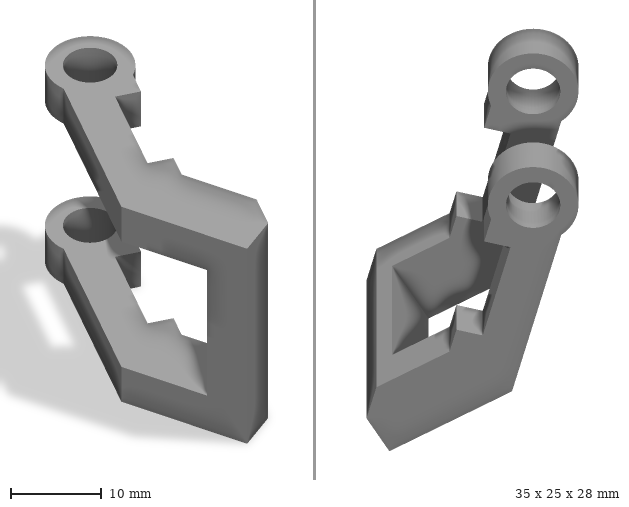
import cadquery as cq
import math

height = 28.0
plate_thickness = 5.0

eye_radius = 5.0
hole_diameter = 6.0

arm_angle = math.radians(-45.0)
arm_half_width = 4.0
notch_start = 6.0
notch_end = 18.0
notch_depth = 3.0

foot_end_x = 30.0
foot_front_y = -20.0
foot_width = 8.0
foot_back_y = foot_front_y + foot_width
corner_chamfer = 3.0
post_thickness = 5.0


def arm_point(along, across):
    """Point at a distance along the arm centreline and a distance to its left."""
    x = along * math.cos(arm_angle) - across * math.sin(arm_angle)
    y = along * math.sin(arm_angle) + across * math.cos(arm_angle)
    return (x, y)


def arm_edge_at_y(across, y):
    """Point where the arm edge with the given offset reaches height y in the plan."""
    along = (y - across * math.cos(arm_angle)) / math.sin(arm_angle)
    return arm_point(along, across)


def make_plate():
    """Flat plate: eye, notched diagonal arm and straight foot."""
    notch_floor = arm_half_width - notch_depth
    outline = [
        arm_point(0, -arm_half_width),
        arm_edge_at_y(-arm_half_width, foot_front_y),
        (foot_end_x, foot_front_y),
        (foot_end_x, foot_back_y - corner_chamfer),
        (foot_end_x - corner_chamfer, foot_back_y),
        arm_edge_at_y(arm_half_width, foot_back_y),
        arm_point(notch_end, arm_half_width),
        arm_point(notch_end, notch_floor),
        arm_point(notch_start, notch_floor),
        arm_point(notch_start, arm_half_width),
        arm_point(0, arm_half_width),
    ]
    arm = cq.Workplane("XY").polyline(outline).close().extrude(plate_thickness)
    eye = cq.Workplane("XY").circle(eye_radius).extrude(plate_thickness)
    hole = cq.Workplane("XY").circle(hole_diameter / 2).extrude(plate_thickness)
    return arm.union(eye).cut(hole)


def make_post():
    """Upright post at the foot end, with the same corner chamfer as the plates."""
    post_inner_x = foot_end_x - post_thickness
    outline = [
        (post_inner_x, foot_front_y),
        (foot_end_x, foot_front_y),
        (foot_end_x, foot_back_y - corner_chamfer),
        (foot_end_x - corner_chamfer, foot_back_y),
        (post_inner_x, foot_back_y),
    ]
    return cq.Workplane("XY").polyline(outline).close().extrude(height)


lower_plate = make_plate()
upper_plate = lower_plate.translate((0, 0, height - plate_thickness))
result = make_post().union(lower_plate).union(upper_plate).clean()